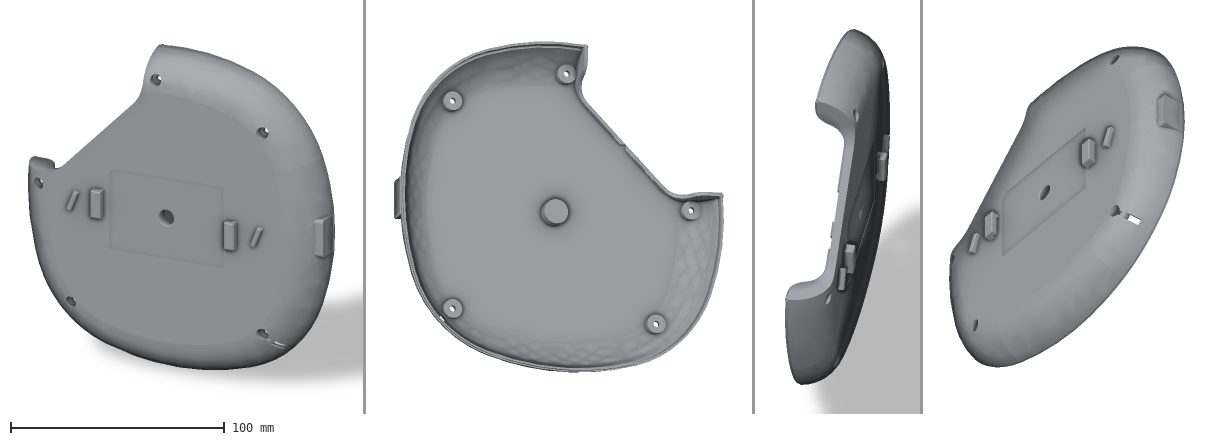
import cadquery as cq
import math


HALF_SIZE = 79.33
SIDE_RADIUS = 122.7
SIDE_HALF_ANGLE = math.radians(17.5)
CORNER_RADIUS = SIDE_RADIUS - (SIDE_RADIUS - HALF_SIZE) / (
    math.cos(SIDE_HALF_ANGLE) - math.sin(SIDE_HALF_ANGLE)
)

WALL_RUN = 17.4
WALL_RISE = 19.5
WALL = 2.0
FLOOR = 2.0
SECTION_COUNT = 8
ABOVE_RIM = 30.0

RIM_MEAN = 17.04
RIM_WAVE = 0.96
RIM_GRID = 9
RIM_GRID_HALF = 90.0
TONGUE_HEIGHT = 1.3
TONGUE_INSET = 0.6
TONGUE_RELIEF = 0.5
RELIEF_DEPTH = 2.4

NOTCH_EDGE = 12.3
NOTCH_DIAGONAL = 71.4
NOTCH_FILLET = 17.0
NOTCH_REACH = 100.0
END_WALL_LOW = 3.9
END_TONGUE_HEIGHT = 1.0
END_TONGUE_THICKNESS = 1.2
END_WALL_CURVE = [(-79.4, 16.5), (-78.0, 18.2), (-74.5, 18.48), (-70.8, 18.26), (-66.7, 16.1),
                  (-64.2, 10.9), (-61.3, 6.7), (-58.0, 4.4), (-55.0, END_WALL_LOW)]
TONGUE_GAPS = [(-49.4, -44.9), (-40.3, -29.7)]

SCREW_CORNER = 50.0
SCREW_NOTCH = (-67.2, 6.0)
SCREW_HOLE_DIAMETER = 2.9
SCREW_HEAD_DIAMETER = 5.8
SCREW_HEAD_DEPTH = 4.0
BOSS_DIAMETER = 9.0
BOSS_TOP = 6.3

LABEL_WIDTH = 59.8
LABEL_HEIGHT = 40.4
LABEL_CHAMFER = 3.0
LABEL_DEPTH = 0.3
CENTRE_DIAMETER = 7.6
CENTRE_DEPTH = 6.5
CENTRE_CHAMFER = 0.4
CENTRE_BOSS_DIAMETER = CENTRE_DIAMETER + 2 * WALL
CENTRE_BOSS_TOP = CENTRE_DEPTH + FLOOR

HOOK_SIZE = (5.2, 13.3)
HOOK_CENTRE = (34.8, -2.3)
HOOK_DROP = 4.4
UNDERCUT_REACH = 2.9
UNDERCUT_DROP = 1.6
UNDERCUT_END_WALL = 1.6
FOOT_SIZE = (2.4, 10.1)
FOOT_CENTRE = (48.0, -1.3)
FOOT_TILT = 22.0
FOOT_DROP = 2.9
TIP_CHAMFER = 0.45

BLOCK_INNER_X = 74.0
BLOCK_OUTER_X = 78.9
BLOCK_HEIGHT = 18.4
BLOCK_BOTTOM = 6.0
BLOCK_TOP = 17.0
BLOCK_FILLET = 1.5
LIP_OUTER_X = 79.5
LIP_THICKNESS = 0.7

SLOT_RADIUS = 79.3
SLOT_LENGTH = 5.2
SLOT_WIDTH = 2.9
SLOT_TOP = 14.0
CORD_GROOVE_WIDTH = 2.0
CORD_GROOVE_TOP = 2.3


def plan(height):
    """Sketch plane at the given height; its local axes are X and Z."""
    return cq.Workplane("XZ", origin=(0, height, 0))


def raised(sketch, rise):
    """Extrude a plan sketch toward +Y."""
    return sketch.extrude(-rise)


def outline(sketch, inset):
    """Closed eight-arc outline, set in from the largest outline by a constant distance."""
    side_radius = SIDE_RADIUS - inset
    side_centre = HALF_SIZE - SIDE_RADIUS
    join_across = side_radius * math.sin(SIDE_HALF_ANGLE)
    join_out = side_centre + side_radius * math.cos(SIDE_HALF_ANGLE)
    corner_centre = (SIDE_RADIUS - CORNER_RADIUS) * math.sin(SIDE_HALF_ANGLE)
    corner_mid = corner_centre + (CORNER_RADIUS - inset) * math.sqrt(0.5)
    side_mid = HALF_SIZE - inset
    sketch = sketch.moveTo(-join_across, join_out)
    for turn in range(4):
        angle = -math.radians(90 * turn)

        def turned(x, z):
            return (x * math.cos(angle) - z * math.sin(angle), x * math.sin(angle) + z * math.cos(angle))

        sketch = sketch.threePointArc(turned(0, side_mid), turned(join_across, join_out))
        sketch = sketch.threePointArc(turned(corner_mid, corner_mid), turned(join_out, join_across))
    return sketch.close()


def bowl(inset, floor):
    """Solid bowl with elliptical walls, continued straight up past the rim."""
    run = WALL_RUN - inset
    rise = WALL_RISE - floor
    wires = []
    for step in range(SECTION_COUNT):
        angle = math.pi / 2 * step / (SECTION_COUNT - 1)
        section_inset = WALL_RUN - run * math.sin(angle)
        section_height = WALL_RISE - rise * math.cos(angle)
        wires.append(outline(plan(section_height), section_inset).wires().val())
    curved = cq.Workplane(cq.Solid.makeLoft(wires))
    return curved.union(raised(outline(plan(WALL_RISE), inset), ABOVE_RIM))


def above_rim(offset):
    """Block bounded below by the saddle-shaped rim surface."""
    rows = []
    for i in range(RIM_GRID):
        x = RIM_GRID_HALF * (2 * i / (RIM_GRID - 1) - 1)
        row = []
        for j in range(RIM_GRID):
            z = RIM_GRID_HALF * (2 * j / (RIM_GRID - 1) - 1)
            wave = (x**4 - 6 * x**2 * z**2 + z**4) / HALF_SIZE**4
            row.append(cq.Vector(x, RIM_MEAN + RIM_WAVE * wave + offset, z))
        rows.append(row)
    surface = cq.Face.makeSplineApprox(rows)
    return cq.Workplane(cq.Solid.extrudeLinear(surface, cq.Vector(0, 2 * ABOVE_RIM, 0)))


def notch(margin):
    """Full-height cutter for the handle notch, grown by a margin."""
    edge = NOTCH_EDGE - margin
    diagonal = NOTCH_DIAGONAL - margin * math.sqrt(2)
    points = [
        (-edge, NOTCH_REACH),
        (-edge, diagonal - edge),
        (edge - diagonal, edge),
        (-NOTCH_REACH, edge),
        (-NOTCH_REACH, NOTCH_REACH),
    ]
    block = raised(plan(-ABOVE_RIM).polyline(points).close(), 3 * ABOVE_RIM)
    mid_height = ABOVE_RIM / 2
    corners = block.edges(cq.NearestToPointSelector((-edge, mid_height, diagonal - edge)))
    corners = corners.add(block.edges(cq.NearestToPointSelector((edge - diagonal, mid_height, edge))))
    return corners.fillet(NOTCH_FILLET + margin)


def end_wall_profile(lift):
    """Solid under the end wall's upper edge: low on the diagonal, sweeping up to the rim at both ends."""
    middle = NOTCH_DIAGONAL / 2
    curve = [(x, height + lift) for x, height in END_WALL_CURVE]
    profile = (
        cq.Workplane("XY")
        .moveTo(-NOTCH_REACH, 0)
        .lineTo(-NOTCH_REACH, curve[0][1])
        .lineTo(*curve[0])
        .spline(curve[1:], includeCurrent=True)
        .lineTo(-middle, END_WALL_LOW + lift)
        .lineTo(-middle, 0)
        .close()
    )
    half = profile.extrude(middle)
    return half.union(cq.Workplane(half.val().mirror(cq.Vector(1, 0, 1))))


def end_tongue():
    """Thin tongue along the inner side of the end wall, interrupted on the diagonal."""
    strip = notch(WALL).cut(notch(WALL - END_TONGUE_THICKNESS))
    tongue = end_wall_profile(END_TONGUE_HEIGHT).intersect(strip)
    for start, end in TONGUE_GAPS:
        sketch = cq.Workplane("XY").center((start + end) / 2, END_WALL_LOW + END_TONGUE_HEIGHT)
        gap = sketch.rect(end - start, 2 * END_TONGUE_HEIGHT).extrude(NOTCH_DIAGONAL)
        tongue = tongue.cut(gap)
    return tongue


def screw_places():
    """Three corner screws and one beside each end of the notch."""
    near, far = SCREW_NOTCH[1], -SCREW_NOTCH[0]
    corner = SCREW_CORNER
    return [(corner, corner), (corner, -corner), (-corner, -corner), (-far, near), (-near, far)]


def hanging_block(size, drop):
    """Block hanging below the base, with its tip chamfered."""
    return cq.Workplane("XZ").rect(*size).extrude(drop).faces("<Y").chamfer(TIP_CHAMFER)


def with_half_turn(block):
    """A block together with its copy turned half a revolution about the centre."""
    return block.union(block.rotate((0, 0, 0), (0, 1, 0), 180))


def hooks():
    """Hooks undercut on the side facing the centre, the undercut open at one end."""
    width, length = HOOK_SIZE
    undercut = cq.Workplane("XZ").center((UNDERCUT_REACH - width) / 2, UNDERCUT_END_WALL)
    undercut = undercut.rect(UNDERCUT_REACH, length).extrude(UNDERCUT_DROP)
    hook = hanging_block(HOOK_SIZE, HOOK_DROP).cut(undercut)
    return with_half_turn(hook.translate((HOOK_CENTRE[0], 0, HOOK_CENTRE[1])))


def feet():
    foot = hanging_block(FOOT_SIZE, FOOT_DROP).rotate((0, 0, 0), (0, 1, 0), FOOT_TILT)
    return with_half_turn(foot.translate((FOOT_CENTRE[0], 0, FOOT_CENTRE[1])))


def side_block(outer_x, bottom):
    """Block across the +X wall, from the given height up to the common top."""
    width = outer_x - BLOCK_INNER_X
    sketch = plan(bottom).center(BLOCK_INNER_X + width / 2, 0).rect(width, BLOCK_HEIGHT)
    return raised(sketch, BLOCK_TOP - bottom)


def connector_block():
    """Connector block with rounded lower edges and a thin lip along its top."""
    block = side_block(BLOCK_OUTER_X, BLOCK_BOTTOM).edges("|X and <Y").fillet(BLOCK_FILLET)
    return block.union(side_block(LIP_OUTER_X, BLOCK_TOP - LIP_THICKNESS))


def centre_hole():
    """Cutter for the blind hole, flared where it opens in the base."""
    hole = raised(plan(0).circle(CENTRE_DIAMETER / 2), CENTRE_DEPTH)
    flare_depth = LABEL_DEPTH + CENTRE_CHAMFER
    flare = cq.Solid.makeCone(
        CENTRE_DIAMETER / 2 + flare_depth, CENTRE_DIAMETER / 2, flare_depth,
        pnt=cq.Vector(0, 0, 0), dir=cq.Vector(0, 1, 0),
    )
    return hole.union(cq.Workplane(flare))


def label_recess():
    recess = raised(plan(0).rect(LABEL_WIDTH, LABEL_HEIGHT), LABEL_DEPTH)
    return recess.edges("|Y and <X and >Z").chamfer(LABEL_CHAMFER)


def diagonal_slot(start, end, width, top):
    """Cutter rising from the base along the (+X, -Z) diagonal between two distances from the centre."""
    sketch = plan(0).transformed(rotate=(0, 0, -45)).center((start + end) / 2, 0)
    return raised(sketch.rect(end - start, width), top)


outer = bowl(0, 0)
cavity = bowl(WALL, FLOOR)
shell = outer.union(connector_block()).cut(above_rim(0))
shell = shell.union(bowl(TONGUE_INSET, FLOOR / 2).cut(above_rim(TONGUE_HEIGHT)))
shell = shell.cut(cavity)
relief = raised(outline(plan(FLOOR), WALL - TONGUE_RELIEF), ABOVE_RIM)
shell = shell.cut(relief.intersect(above_rim(-RELIEF_DEPTH)))

screws = screw_places()
bosses = raised(plan(FLOOR / 2).pushPoints(screws).circle(BOSS_DIAMETER / 2), BOSS_TOP - FLOOR / 2)
shell = shell.union(bosses.intersect(outer))

end_wall = end_wall_profile(0).intersect(notch(WALL))
shell = shell.union(end_wall.intersect(outer))
shell = shell.cut(notch(0))
shell = shell.union(end_tongue().intersect(outer))

shell = shell.cut(raised(plan(0).pushPoints(screws).circle(SCREW_HOLE_DIAMETER / 2), BOSS_TOP))
shell = shell.cut(raised(plan(0).pushPoints(screws).circle(SCREW_HEAD_DIAMETER / 2), SCREW_HEAD_DEPTH))

shell = shell.cut(label_recess())
centre_boss = plan(FLOOR / 2).circle(CENTRE_BOSS_DIAMETER / 2)
shell = shell.union(raised(centre_boss, CENTRE_BOSS_TOP - FLOOR / 2))
shell = shell.cut(centre_hole())
slot_start = SLOT_RADIUS - SLOT_LENGTH / 2
slot_end = SLOT_RADIUS + SLOT_LENGTH / 2
shell = shell.cut(diagonal_slot(slot_start, slot_end, SLOT_WIDTH, SLOT_TOP))
shell = shell.cut(diagonal_slot(SCREW_CORNER * math.sqrt(2), SLOT_RADIUS, CORD_GROOVE_WIDTH, CORD_GROOVE_TOP))
shell = shell.union(hooks())
shell = shell.union(feet())

result = shell